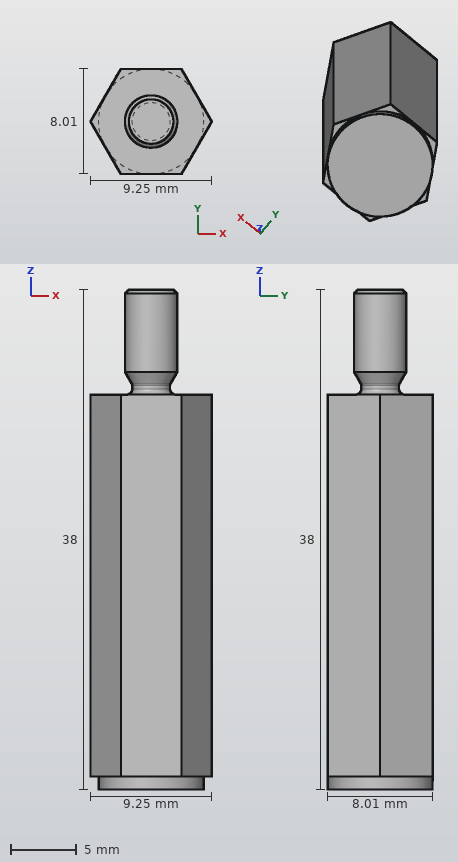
import cadquery as cq
import math

total_height = 38.0
hex_corners = 9.25
hex_flats = hex_corners * math.cos(math.pi / 6)
collar_height = 1.0
stud_height = 7.98
shoulder_z = total_height - stud_height

stud_radius = 4.0 / 2
tip_chamfer = 0.3
tip_radius = stud_radius - tip_chamfer
thread_start_z = shoulder_z + 1.7

neck_radius = 2.9 / 2
shoulder_fillet = 0.4
runout_fillet = 0.2
runout_angle = math.radians(30)


def make_body():
    """Hexagonal bar with corners on the X axis, standing on a round collar."""
    collar = cq.Workplane("XY").circle(hex_flats / 2).extrude(collar_height)
    bar = (
        cq.Workplane("XY")
        .workplane(offset=collar_height)
        .polygon(6, hex_corners)
        .extrude(shoulder_z - collar_height)
    )
    return collar.union(bar)


def make_stud():
    """Chamfered stud whose conical run-out blends into a filleted neck."""
    lower_centre_r = neck_radius + shoulder_fillet
    lower_centre_z = shoulder_z + shoulder_fillet
    lower_mid_offset = shoulder_fillet * math.sqrt(0.5)

    upper_centre_r = neck_radius + runout_fillet
    cone_foot_r = upper_centre_r - runout_fillet * math.cos(runout_angle)
    cone_height = (stud_radius - cone_foot_r) / math.tan(runout_angle)
    cone_foot_z = thread_start_z - cone_height
    upper_centre_z = cone_foot_z - runout_fillet * math.sin(runout_angle)
    upper_mid_r = upper_centre_r - runout_fillet * math.cos(runout_angle / 2)
    upper_mid_z = upper_centre_z + runout_fillet * math.sin(runout_angle / 2)

    return (
        cq.Workplane("XZ")
        .moveTo(0, shoulder_z)
        .lineTo(lower_centre_r, shoulder_z)
        .threePointArc(
            (lower_centre_r - lower_mid_offset, lower_centre_z - lower_mid_offset),
            (neck_radius, lower_centre_z),
        )
        .lineTo(neck_radius, upper_centre_z)
        .threePointArc((upper_mid_r, upper_mid_z), (cone_foot_r, cone_foot_z))
        .lineTo(stud_radius, thread_start_z)
        .lineTo(stud_radius, total_height - tip_chamfer)
        .lineTo(tip_radius, total_height)
        .lineTo(0, total_height)
        .close()
        .revolve(360, (0, 0, 0), (0, 1, 0))
    )


result = make_body().union(make_stud())